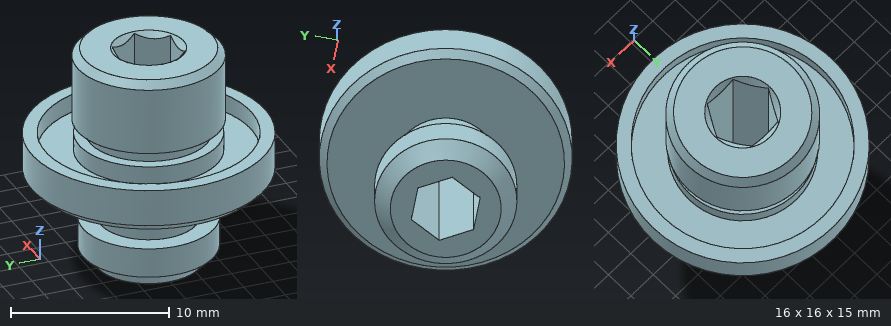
import cadquery as cq
import math

tip_dia = 9.0
lower_neck_dia = 6.5
flange_dia = 16.0
upper_neck_dia = 8.0
head_dia = 9.73
recess_outer_dia = 14.1
recess_inner_dia = 9.5
socket_mouth_dia = 4.8

tip_top = 3.0
flange_bottom = 6.0
flange_top = 9.0
upper_neck_top = 10.0
total_height = 15.0

tip_chamfer = 1.0
edge_chamfer = 0.5
recess_depth = 1.25
socket_across_flats = 4.0
socket_mouth_angle = 45.0


def disc(diameter, bottom, top):
    return cq.Workplane("XY").workplane(offset=bottom).circle(diameter / 2).extrude(top - bottom)


def stepped_body():
    tip = disc(tip_dia, 0, tip_top).faces("<Z").chamfer(tip_chamfer)
    lower_neck = disc(lower_neck_dia, tip_top, flange_bottom)
    flange = disc(flange_dia, flange_bottom, flange_top).faces("<Z").chamfer(edge_chamfer)
    upper_neck = disc(upper_neck_dia, flange_top, upper_neck_top)
    head = disc(head_dia, upper_neck_top, total_height).faces(">Z").chamfer(edge_chamfer)
    return tip.union(lower_neck).union(flange).union(upper_neck).union(head)


def flange_recess():
    """Ring-shaped groove in the upper face of the flange."""
    floor = flange_top - recess_depth
    outer = disc(recess_outer_dia, floor, flange_top)
    return outer.cut(disc(recess_inner_dia, floor, flange_top))


def hex_socket():
    """Hexagonal through hole with two corners on the X axis."""
    across_corners = socket_across_flats / math.cos(math.pi / 6)
    return cq.Workplane("XY").polygon(6, across_corners).extrude(total_height)


def socket_lead_in():
    """Cone that opens the socket at the top face."""
    mouth_radius = socket_mouth_dia / 2
    cone_depth = mouth_radius * math.tan(math.radians(socket_mouth_angle))
    profile = (
        cq.Workplane("XZ")
        .moveTo(0, total_height)
        .lineTo(mouth_radius, total_height)
        .lineTo(0, total_height - cone_depth)
        .close()
    )
    return profile.revolve(360, (0, 0, 0), (0, 1, 0))


result = stepped_body().cut(flange_recess()).cut(hex_socket()).cut(socket_lead_in())